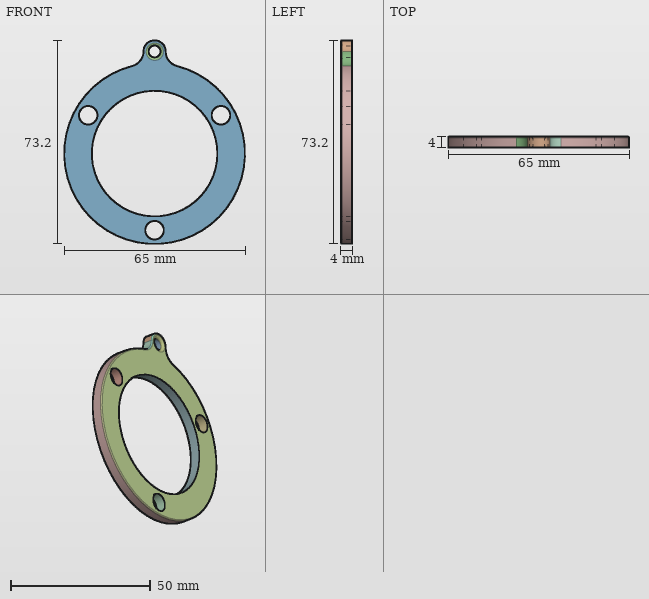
import cadquery as cq
import math

overall_height = 73.2
thickness = 4.0
disc_radius = 32.5
bore_diameter = 45.0
screw_hole_diameter = 6.6
screw_circle_radius = 27.5
screw_hole_angles = (30, 150, 270)
lug_radius = 4.0
eye_diameter = 4.2
eye_rounding = 1.0
back_rounding = 0.45

lug_height = overall_height - disc_radius - lug_radius

neck_radius = (lug_height**2 + lug_radius**2 - disc_radius**2) / (2 * (disc_radius - lug_radius))
neck_center_x = lug_radius + neck_radius
neck_angle = math.atan2(lug_height, neck_center_x)
foot_x = disc_radius * math.cos(neck_angle)
foot_z = disc_radius * math.sin(neck_angle)
neck_mid_angle = (math.pi + neck_angle + math.pi) / 2
neck_mid_x = neck_center_x + neck_radius * math.cos(neck_mid_angle)
neck_mid_z = lug_height + neck_radius * math.sin(neck_mid_angle)


def make_body():
    """Disc with a blended lug, front face at y = 0 and rounded around the back face."""
    body = (
        cq.Workplane("XZ")
        .moveTo(foot_x, foot_z)
        .threePointArc((0, -disc_radius), (-foot_x, foot_z))
        .threePointArc((-neck_mid_x, neck_mid_z), (-lug_radius, lug_height))
        .threePointArc((0, lug_height + lug_radius), (lug_radius, lug_height))
        .threePointArc((neck_mid_x, neck_mid_z), (foot_x, foot_z))
        .close()
        .extrude(-thickness)
    )
    return body.faces(">Y").edges().fillet(back_rounding)


def make_cylinder(x, z, diameter):
    """Cutter through the full thickness."""
    return cq.Workplane("XZ").center(x, z).circle(diameter / 2).extrude(-thickness)


def make_eye():
    """Cutter for the lug hole, with both of its mouths rounded outward."""
    eye_radius = eye_diameter / 2
    mouth_radius = eye_radius + eye_rounding
    arc_offset = eye_rounding * (1 - math.sqrt(0.5))
    return (
        cq.Workplane("XY")
        .lineTo(mouth_radius, 0)
        .threePointArc((eye_radius + arc_offset, arc_offset), (eye_radius, eye_rounding))
        .lineTo(eye_radius, thickness - eye_rounding)
        .threePointArc((eye_radius + arc_offset, thickness - arc_offset), (mouth_radius, thickness))
        .lineTo(0, thickness)
        .close()
        .revolve(360, (0, 0), (0, 1))
        .translate((0, 0, lug_height))
    )


result = make_body().cut(make_cylinder(0, 0, bore_diameter)).cut(make_eye())
for angle in screw_hole_angles:
    hole_x = screw_circle_radius * math.cos(math.radians(angle))
    hole_z = screw_circle_radius * math.sin(math.radians(angle))
    result = result.cut(make_cylinder(hole_x, hole_z, screw_hole_diameter))